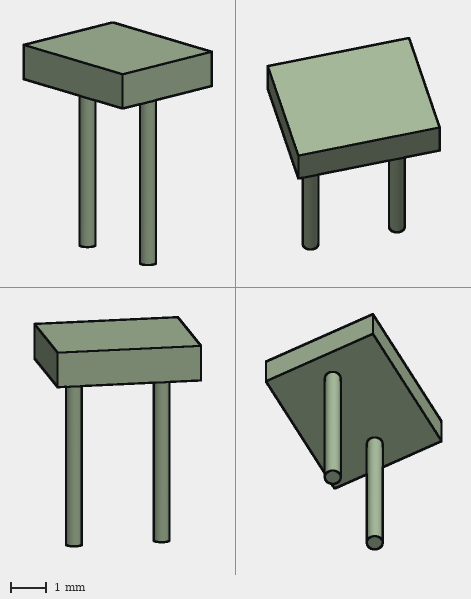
import cadquery as cq

BODY_LENGTH = 4.1
BODY_WIDTH = 3.4
BODY_HEIGHT = 1.0

TOTAL_HEIGHT = 6.0
LEAD_DIAMETER = 0.45
LEAD_PITCH = 2.5
LEAD_LENGTH = TOTAL_HEIGHT - BODY_HEIGHT


def make_body():
    """Plain block whose underside lies on Z = 0."""
    return cq.Workplane("XY").box(BODY_LENGTH, BODY_WIDTH, BODY_HEIGHT, centered=(True, True, False))


def make_lead(x):
    """Straight round lead hanging from the underside of the body."""
    return cq.Workplane("XY").center(x, 0).circle(LEAD_DIAMETER / 2).extrude(-LEAD_LENGTH)


body = make_body()
leads = [make_lead(side * LEAD_PITCH / 2) for side in (-1, 1)]

result = cq.Compound.makeCompound([body.val(), *[lead.val() for lead in leads]])